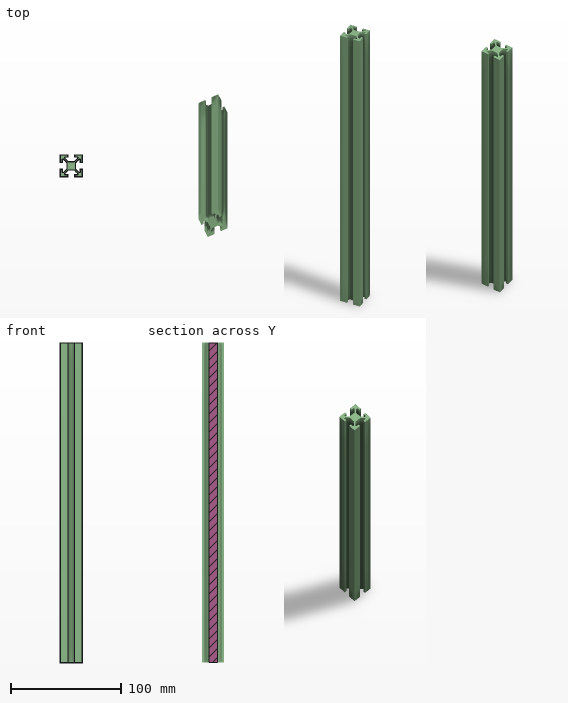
import cadquery as cq

length = 290.0
width = 20.0
slot_opening = 6.0
lip_thickness = 2.0
cavity_width = 11.5
core_width = 7.8
web_offset = 1.02

half_width = width / 2
half_opening = slot_opening / 2
half_cavity = cavity_width / 2
half_core = core_width / 2
lip_inner_face = half_width - lip_thickness


def slot_cutter(angle):
    """One full-length T-slot, cut from the +Y side and turned about the Z axis."""
    right_side = [
        (half_core - web_offset, half_core),
        (half_cavity, half_cavity + web_offset),
        (half_cavity, lip_inner_face),
        (half_opening, lip_inner_face),
        (half_opening, half_width),
    ]
    left_side = [(-x, y) for x, y in reversed(right_side)]
    cutter = cq.Workplane("XY").polyline(right_side + left_side).close().extrude(length)
    return cutter.rotate((0, 0, 0), (0, 0, 1), angle)


result = cq.Workplane("XY").rect(width, width).extrude(length)
for slot_angle in (0, 90, 180, 270):
    result = result.cut(slot_cutter(slot_angle))